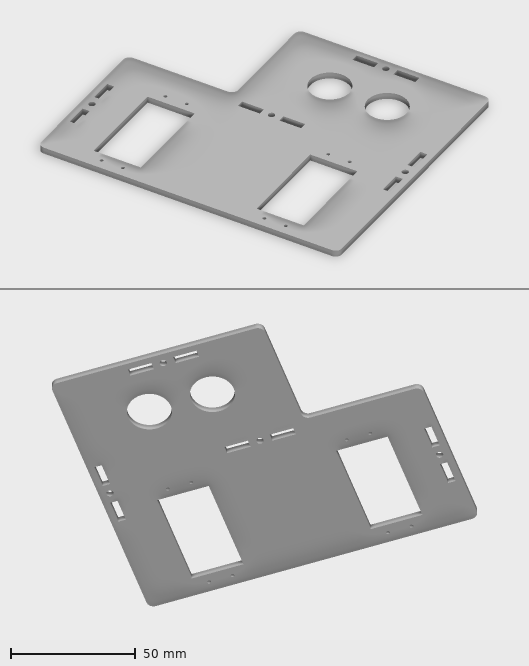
import cadquery as cq

length = 140.0
width = 120.0
thickness = 3.0
notch_length = 50.0
notch_width = 50.0
corner_radius = 3.0

slot_length = 10.1
slot_width = 3.2
slot_pitch = 19.2
bolt_diameter = 3.0
edge_inset = 4.5

round_diameter = 18.0
round_pitch = 26.7
round_pair_x = 93.5
round_y = 94.1

window_length = 22.0
window_width = 42.1
window_y = 29.5
window_centers_x = [32.0, 108.0]
screw_diameter = 1.5
screw_pitch_x = 10.0
screw_pitch_y = 50.0

tab_mounts = [
    (round_pair_x, width - edge_inset, 0),
    (length / 2, width - notch_width - edge_inset, 0),
    (edge_inset, 35.0, 90),
    (length - edge_inset, 60.0, 90),
]


def make_plate():
    """L-shaped plate with its lower-left corner at the origin and rounded corners."""
    outline = [
        (0, 0),
        (length, 0),
        (length, width),
        (notch_length, width),
        (notch_length, width - notch_width),
        (0, width - notch_width),
    ]
    plate = cq.Workplane("XY").polyline(outline).close().extrude(thickness)
    return plate.edges("|Z").fillet(corner_radius)


def tab_mount_cutter(x, y, angle):
    slots = (
        cq.Workplane("XY")
        .rarray(slot_pitch, 1.4, 2, 1)
        .rect(slot_length, slot_width)
        .extrude(thickness)
    )
    bolt = cq.Workplane("XY").circle(bolt_diameter / 2).extrude(thickness)
    row = slots.add(bolt).combine()
    return row.rotate((0, 0, 0), (0, 0, 1), angle).translate((x, y, 0))


def window_cutter(x):
    window = (
        cq.Workplane("XY")
        .center(x, window_y)
        .rect(window_length, window_width)
        .extrude(thickness)
    )
    screws = (
        cq.Workplane("XY")
        .center(x, window_y)
        .rarray(screw_pitch_x, screw_pitch_y, 2, 2)
        .circle(screw_diameter / 2)
        .extrude(thickness)
    )
    return window.add(screws).combine()


def round_openings_cutter():
    return (
        cq.Workplane("XY")
        .center(round_pair_x, round_y)
        .rarray(round_pitch, 1.4, 2, 1)
        .circle(round_diameter / 2)
        .extrude(thickness)
    )


result = make_plate().cut(round_openings_cutter())
for mount_x, mount_y, row_angle in tab_mounts:
    result = result.cut(tab_mount_cutter(mount_x, mount_y, row_angle))
for window_x in window_centers_x:
    result = result.cut(window_cutter(window_x))